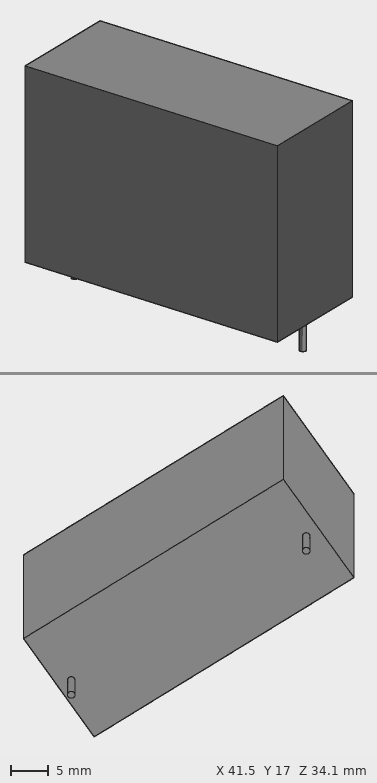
import cadquery as cq

HOUSING_LENGTH = 41.5
HOUSING_WIDTH = 17.0
OVERALL_HEIGHT = 34.1

LEAD_DIAMETER = 1.0
LEAD_LENGTH = 5.05
LEAD_PITCH = 37.5

HOUSING_HEIGHT = OVERALL_HEIGHT - LEAD_LENGTH


def make_housing():
    """Plain rectangular block."""
    return cq.Workplane("XY").box(
        HOUSING_LENGTH, HOUSING_WIDTH, HOUSING_HEIGHT, centered=(True, True, False)
    )


def make_lead(x):
    """Straight round lead hanging from the housing's underside at the given X."""
    return cq.Workplane("XY").center(x, 0).circle(LEAD_DIAMETER / 2).extrude(-LEAD_LENGTH)


housing = make_housing()
leads = [make_lead(side * LEAD_PITCH / 2) for side in (-1, 1)]

result = cq.Compound.makeCompound([housing.val(), *[lead.val() for lead in leads]])